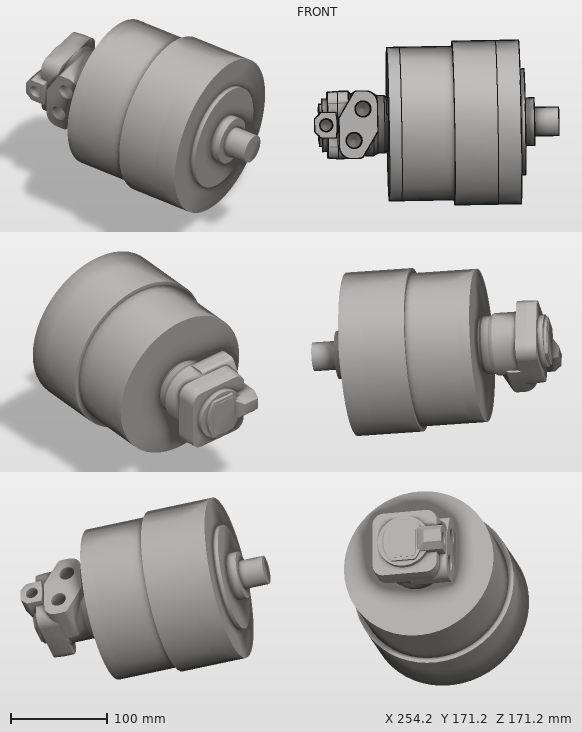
import cadquery as cq
import math

SHAFT_RISE = 1.0
SHAFT_SWING = 1.0

DRUM_RADIUS = 79.8
FLANGE_RADIUS = 85.0
PILOT_RADIUS = 55.0
BOSS_RADIUS = 25.0
SHAFT_RADIUS = 15.0
CAP_LENGTH = 13.0
DRUM_LENGTH = 54.9
REAR_FLANGE_LENGTH = 45.0
FRONT_FLANGE_LENGTH = 24.1
PILOT_LENGTH = 5.0
BOSS_LENGTH = 10.0
SHAFT_LENGTH = 25.5

COVER_REAR_X = -62.7
COVER_JOINT_X = -52.5
SLAB_FRONT_X = -41.1
BARREL_FRONT_X = -15.5
COLLAR_REAR_X = -11.2
COLLAR_FRONT_X = -3.8

SLAB_SIDE = 70.0
CORNER_RADIUS = 12.5
SHOULDER_RADIUS = 34.8
SHOULDER_CHAMFER = 2.3
COLLAR_RADIUS = 30.0
COLLAR_CHAMFER = 2.3

PORT_FACE_Y = -42.0
PAD_CENTRE_X = -31.2
PAD_HALF_WIDTH = 20.0
PAD_HALF_HEIGHT = SLAB_SIDE / 2
PAD_SLOPE_TOP_X = -3.5
PAD_SLOPE_FOOT_Z = 7.4
PAD_SMALL_RADIUS = 5.3
PORT_RADIUS = 8.0
PORT_OFFSET_X = 4.8
PORT_OFFSET_Z = 16.3

COVER_DRAFT = 5.0
DISC_RADIUS = 27.5
DISC_HEIGHT = 5.5
PLATE_HEIGHT = 3.0
PLATE_HALF_HEIGHT = 22.0
PLATE_HALF_FLAT = 12.5
PLATE_HALF_WIDTH = 20.5
LABEL_HEIGHT = 0.5
LABEL_HALF_WIDTH = 13.5
LABEL_HALF_HEIGHT = 18.8
LABEL_CORNER_Y = 2.0
LABEL_CORNER_Z = 3.3

DRAIN_REAR_X = -76.7
DRAIN_FRONT_X = -54.5
DRAIN_BULGE = 1.3
DRAIN_HALF_HEIGHT = 13.2
DRAIN_BEVEL = 6.5
DRAIN_SLOPE_START_Y = -15.5
DRAIN_SLOPE_END_Y = -23.5
DRAIN_HOLE_X = -64.8
DRAIN_HOLE_RADIUS = 6.3

PORT_DEPTH = 20.3
PORT_MOUTH_CHAMFER = 0.5
DRILL_POINT_ANGLE = 118.0

DRUM_REAR_X = CAP_LENGTH
REAR_FLANGE_X = DRUM_REAR_X + DRUM_LENGTH
FRONT_FLANGE_X = REAR_FLANGE_X + REAR_FLANGE_LENGTH
PILOT_X = FRONT_FLANGE_X + FRONT_FLANGE_LENGTH
BOSS_X = PILOT_X + PILOT_LENGTH
SHAFT_X = BOSS_X + BOSS_LENGTH
DISC_REAR_X = COVER_REAR_X - DISC_HEIGHT
PLATE_REAR_X = DISC_REAR_X - PLATE_HEIGHT


def section_at(x):
    """Sketch plane across the axis: local x is +Y, local y is +Z, normal is +X."""
    return cq.Workplane("YZ", origin=(x, 0, 0))


def disc(x, radius, length):
    """Round disc on the axis, from x towards +X."""
    return section_at(x).circle(radius).extrude(length)


def square_slab(length, draft=0):
    """Square slab with round corners, from the cover joint; a negative length runs to the rear."""
    outline = cq.Sketch().rect(SLAB_SIDE, SLAB_SIDE).vertices().fillet(CORNER_RADIUS)
    return section_at(COVER_JOINT_X).placeSketch(outline).extrude(length, taper=draft)


def port_cutter(x, z, radius):
    """Blind port with a chamfered mouth and a drill point, bored in from the port face."""
    point_depth = radius / math.tan(math.radians(DRILL_POINT_ANGLE / 2))
    profile = [
        (0, 0),
        (radius + PORT_MOUTH_CHAMFER, 0),
        (radius, PORT_MOUTH_CHAMFER),
        (radius, PORT_DEPTH),
        (0, PORT_DEPTH + point_depth),
    ]
    cutter = cq.Workplane("XY").polyline(profile).close().revolve(360, (0, 0, 0), (0, 1, 0))
    return cutter.translate((x, PORT_FACE_Y, z))



def make_rear_cap():
    return disc(0, DRUM_RADIUS, CAP_LENGTH)


def make_drum():
    return disc(DRUM_REAR_X, DRUM_RADIUS, DRUM_LENGTH)


def make_rear_flange():
    return disc(REAR_FLANGE_X, FLANGE_RADIUS, REAR_FLANGE_LENGTH)


def make_front_flange():
    """Flange with a centring pilot and a boss in front of it."""
    flange = disc(FRONT_FLANGE_X, FLANGE_RADIUS, FRONT_FLANGE_LENGTH)
    pilot = disc(PILOT_X, PILOT_RADIUS, PILOT_LENGTH)
    boss = disc(BOSS_X, BOSS_RADIUS, BOSS_LENGTH)
    return flange.union(pilot).union(boss)


def make_shaft():
    return disc(SHAFT_X, SHAFT_RADIUS, SHAFT_LENGTH)



def make_barrel():
    """Round barrel from a chamfered shoulder on the slab to a collar and a short neck at the rear cap."""
    barrel_radius = SHOULDER_RADIUS - SHOULDER_CHAMFER
    neck_radius = COLLAR_RADIUS - COLLAR_CHAMFER
    profile = [
        (SLAB_FRONT_X, 0),
        (SLAB_FRONT_X, SHOULDER_RADIUS),
        (SLAB_FRONT_X + SHOULDER_CHAMFER, barrel_radius),
        (BARREL_FRONT_X, barrel_radius),
        (COLLAR_REAR_X, COLLAR_RADIUS),
        (COLLAR_FRONT_X, COLLAR_RADIUS),
        (COLLAR_FRONT_X + COLLAR_CHAMFER, neck_radius),
        (0, neck_radius),
        (0, 0),
    ]
    return cq.Workplane("XY").polyline(profile).close().revolve(360, (0, 0, 0), (1, 0, 0))


def make_port_pad():
    """Six-sided pad, unchanged by a half turn, from the axis plane out to the port face."""
    half_outline = [
        (-PAD_HALF_WIDTH, PAD_SLOPE_FOOT_Z),
        (PAD_SLOPE_TOP_X, PAD_HALF_HEIGHT),
        (PAD_HALF_WIDTH, PAD_HALF_HEIGHT),
    ]
    outline = half_outline + [(-x, -z) for x, z in half_outline]
    pad = cq.Workplane("XZ").polyline(outline).close().extrude(-PORT_FACE_Y)
    for side in (1, -1):
        slope_corner = (side * PAD_SLOPE_TOP_X, PORT_FACE_Y / 2, side * PAD_HALF_HEIGHT)
        square_corner = (side * PAD_HALF_WIDTH, PORT_FACE_Y / 2, side * PAD_HALF_HEIGHT)
        pad = pad.edges(cq.NearestToPointSelector(slope_corner)).fillet(PAD_SMALL_RADIUS)
        pad = pad.edges(cq.NearestToPointSelector(square_corner)).fillet(CORNER_RADIUS)
    return pad.translate((PAD_CENTRE_X, 0, 0))


def make_motor_housing():
    slab = square_slab(SLAB_FRONT_X - COVER_JOINT_X)
    housing = slab.union(make_barrel()).union(make_port_pad())
    for side in (1, -1):
        port_x = PAD_CENTRE_X + side * PORT_OFFSET_X
        housing = housing.cut(port_cutter(port_x, side * PORT_OFFSET_Z, PORT_RADIUS))
    return housing



def make_end_plate():
    """Plate with flat top and bottom and bowed sides."""
    outline = (
        section_at(PLATE_REAR_X)
        .moveTo(-PLATE_HALF_FLAT, PLATE_HALF_HEIGHT)
        .lineTo(PLATE_HALF_FLAT, PLATE_HALF_HEIGHT)
        .threePointArc((PLATE_HALF_WIDTH, 0), (PLATE_HALF_FLAT, -PLATE_HALF_HEIGHT))
        .lineTo(-PLATE_HALF_FLAT, -PLATE_HALF_HEIGHT)
        .threePointArc((-PLATE_HALF_WIDTH, 0), (-PLATE_HALF_FLAT, PLATE_HALF_HEIGHT))
        .close()
    )
    return outline.extrude(PLATE_HEIGHT)


def make_label_pad():
    """Thin rectangle with cut corners, raised on the end plate."""
    inner_y = LABEL_HALF_WIDTH - LABEL_CORNER_Y
    inner_z = LABEL_HALF_HEIGHT - LABEL_CORNER_Z
    upper_half = [
        (LABEL_HALF_WIDTH, inner_z),
        (inner_y, LABEL_HALF_HEIGHT),
        (-inner_y, LABEL_HALF_HEIGHT),
        (-LABEL_HALF_WIDTH, inner_z),
    ]
    outline = upper_half + [(-y, -z) for y, z in upper_half]
    return section_at(PLATE_REAR_X).polyline(outline).close().extrude(-LABEL_HEIGHT)


def make_drain_block():
    """Bevelled block with a bowed front side; its rear slopes down to the end plate."""
    bevel_x = DRAIN_REAR_X + DRAIN_BEVEL
    flat_z = DRAIN_HALF_HEIGHT - DRAIN_BEVEL
    block = (
        cq.Workplane("XZ")
        .moveTo(DRAIN_REAR_X, -flat_z)
        .lineTo(DRAIN_REAR_X, flat_z)
        .lineTo(bevel_x, DRAIN_HALF_HEIGHT)
        .lineTo(DRAIN_FRONT_X, DRAIN_HALF_HEIGHT)
        .threePointArc((DRAIN_FRONT_X + DRAIN_BULGE, 0), (DRAIN_FRONT_X, -DRAIN_HALF_HEIGHT))
        .lineTo(bevel_x, -DRAIN_HALF_HEIGHT)
        .close()
        .extrude(-PORT_FACE_Y)
    )
    above_slope = (
        cq.Workplane("XY")
        .moveTo(DRAIN_REAR_X, DRAIN_SLOPE_END_Y)
        .lineTo(PLATE_REAR_X, DRAIN_SLOPE_START_Y)
        .lineTo(PLATE_REAR_X, 0)
        .lineTo(DRAIN_REAR_X, 0)
        .close()
        .extrude(DRAIN_HALF_HEIGHT, both=True)
    )
    return block.cut(above_slope)


def make_motor_cover():
    cover = square_slab(COVER_REAR_X - COVER_JOINT_X, COVER_DRAFT)
    cover = cover.union(disc(DISC_REAR_X, DISC_RADIUS, DISC_HEIGHT))
    cover = cover.union(make_end_plate()).union(make_label_pad()).union(make_drain_block())
    return cover.cut(port_cutter(DRAIN_HOLE_X, 0, DRAIN_HOLE_RADIUS))


def tip(body):
    """Tip a body with the rest of the assembly, about the centre of the rear cap face."""
    risen = body.rotate((0, 0, 0), (0, 1, 0), -SHAFT_RISE)
    return risen.rotate((0, 0, 0), (0, 0, 1), SHAFT_SWING)


motor_cover = tip(make_motor_cover())
motor_housing = tip(make_motor_housing())
rear_cap = tip(make_rear_cap())
drum = tip(make_drum())
rear_flange = tip(make_rear_flange())
front_flange = tip(make_front_flange())
shaft = tip(make_shaft())

result = cq.Compound.makeCompound([
    motor_cover.val(),
    motor_housing.val(),
    rear_cap.val(),
    drum.val(),
    rear_flange.val(),
    front_flange.val(),
    shaft.val(),
])